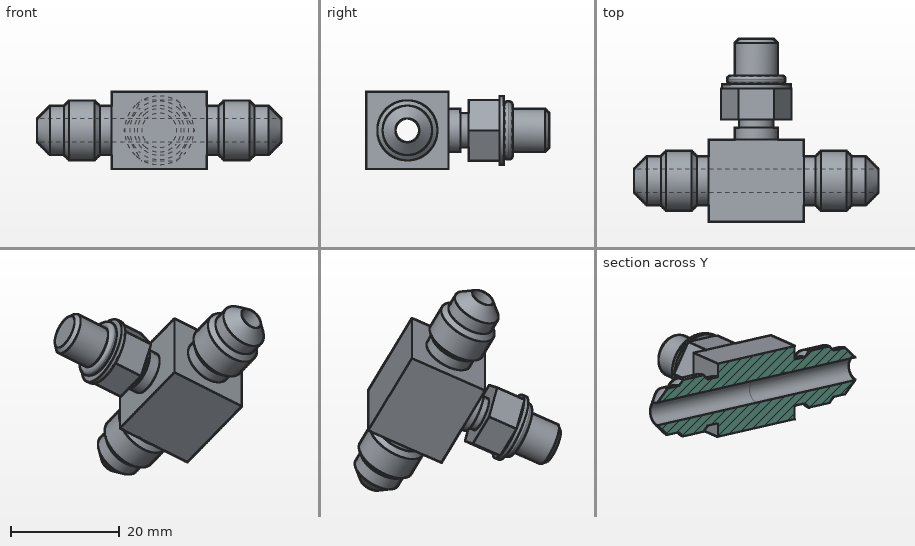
import cadquery as cq
import math

overall_y = 33.75

block_x = 17.55
block_y = 15.2
block_z = 14.3

run_neck_end = 10.95
collar_start = 11.95
collar_end = 16.6
nose_start = 17.6
nose_cone_start = 20.15
run_end = 22.55
run_neck_radius = 4.55
collar_radius = 5.55
bore_radius = 2.15

branch_end = overall_y - block_y / 2
shoulder_end = 9.8
branch_neck_end = 11.25
hex_end = 16.95
washer_end = 17.8
seal_end = 19.45
shoulder_radius = 4.0
branch_neck_radius = 3.2
hex_across_flats = 11.25
washer_radius = 6.35
seal_radius = 5.4
stub_chamfer = 0.8


def branch_cylinder(radius, start, end):
    """Cylinder on the branch axis between two distances from the run axis."""
    return cq.Workplane("XZ", origin=(0, start, 0)).circle(radius).extrude(start - end)


def run_fitting():
    """Flared fitting pointing along +X, revolved about the run axis."""
    profile = [
        (0, 0),
        (0, run_neck_radius),
        (run_neck_end, run_neck_radius),
        (collar_start, collar_radius),
        (collar_end, collar_radius),
        (nose_start, run_neck_radius),
        (nose_cone_start, run_neck_radius),
        (run_end, bore_radius),
        (run_end, 0),
    ]
    return cq.Workplane("XY").polyline(profile).close().revolve(360, (0, 0), (1, 0))


def hex_nut():
    """Hexagon with two corners on the X direction."""
    across_corners = hex_across_flats / math.cos(math.radians(30))
    return (
        cq.Workplane("XZ", origin=(0, branch_neck_end, 0))
        .polygon(6, across_corners)
        .extrude(branch_neck_end - hex_end)
    )


def seal_ring():
    """O-ring seated on the washer, around the stub."""
    section_radius = (seal_end - washer_end) / 2
    return (
        cq.Workplane("XY")
        .center(seal_radius - section_radius, washer_end + section_radius)
        .circle(section_radius)
        .revolve(360, (section_radius - seal_radius, 0), (section_radius - seal_radius, 1))
    )


def branch():
    """Shoulder, neck, nut, washer, seal and chamfered stub."""
    stub = branch_cylinder(shoulder_radius, hex_end, branch_end).faces(">Y").chamfer(stub_chamfer)
    return (
        branch_cylinder(shoulder_radius, 0, shoulder_end)
        .union(branch_cylinder(branch_neck_radius, 0, hex_end))
        .union(hex_nut())
        .union(branch_cylinder(washer_radius, hex_end, washer_end))
        .union(stub)
        .union(seal_ring())
    )


block = cq.Workplane("XY").box(block_x, block_y, block_z)
right_fitting = run_fitting()
left_fitting = right_fitting.mirror("YZ")
bore = cq.Workplane("YZ").circle(bore_radius).extrude(run_end, both=True)

result = block.union(right_fitting).union(left_fitting).union(branch()).cut(bore)